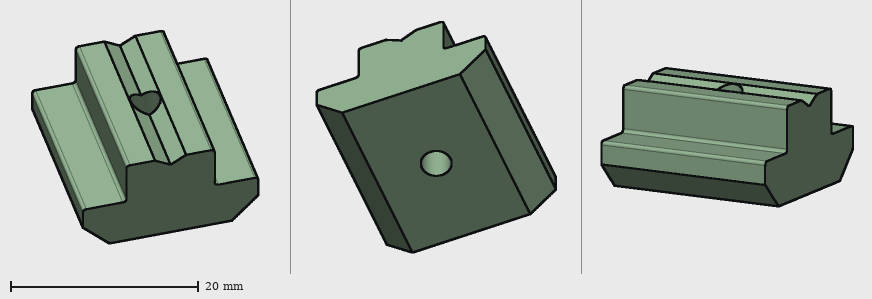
import cadquery as cq
import math

length = 20.0
base_width = 19.5
height = 10.6

base_height = 5.5
stem_width = 9.8
bottom_chamfer = 2.95
edge_radius = 0.4

groove_width = 3.45
groove_slope = 30.0
groove_depth = groove_width / 2 * math.tan(math.radians(groove_slope))
hole_diameter = 3.3


def make_body():
    """T-shaped bar with chamfered lower edges, centred on X and Y."""
    half_base = base_width / 2
    half_stem = stem_width / 2
    half_bottom = half_base - bottom_chamfer
    right_half = [
        (half_bottom, 0),
        (half_base, bottom_chamfer),
        (half_base, base_height),
        (half_stem, base_height),
        (half_stem, height),
    ]
    left_half = [(-y, z) for y, z in reversed(right_half)]
    body = (
        cq.Workplane("YZ")
        .polyline(right_half + left_half)
        .close()
        .extrude(length / 2, both=True)
    )
    upper_edges = cq.selectors.BoxSelector(
        (-length, -base_width, base_height - edge_radius),
        (length, base_width, height + edge_radius),
    )
    return body.edges("|X").edges(upper_edges).fillet(edge_radius)


def make_groove():
    """Triangular prism that cuts the V-groove."""
    return (
        cq.Workplane("YZ")
        .moveTo(-groove_width / 2, height)
        .lineTo(0, height - groove_depth)
        .lineTo(groove_width / 2, height)
        .close()
        .extrude(length / 2, both=True)
    )


def make_hole():
    """Vertical cylinder through the full height."""
    return cq.Workplane("XY").circle(hole_diameter / 2).extrude(height)


result = make_body().cut(make_groove()).cut(make_hole())